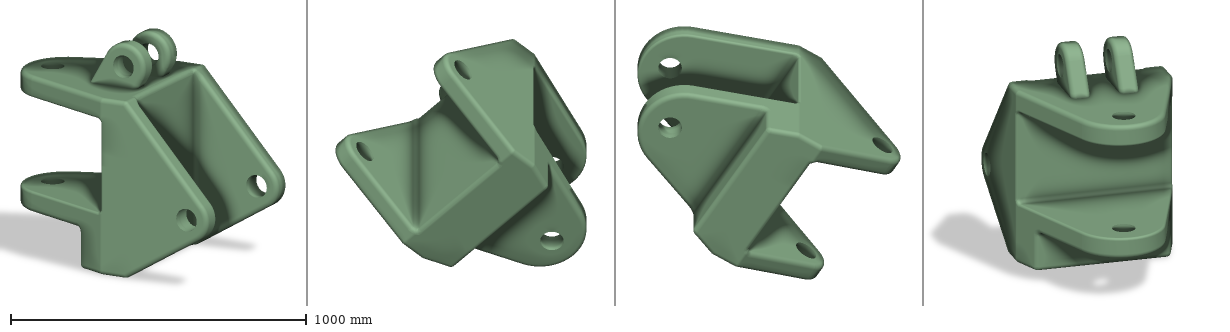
import cadquery as cq
import math

length = 854.5
width = 554.5
body_height = 619.5
overall_height = 772.5

plate_thickness = 73.5
jaw_floor = 215.0
jaw_ceiling = body_height - plate_thickness
jaw_wall_x = 443.0
jaw_tip_radius = 158.0
jaw_pin_x = 102.0
step_x = 340.0
step_top = jaw_floor - plate_thickness

cheek_thickness = 70.0
fork_wall_x = 537.5
fork_tip_radius = 79.5
fork_pin_x = length - fork_tip_radius
fork_pin_z = 238.0

lug_thickness = 68.0
lug_spacing = 172.0
lug_radius = 79.5
lug_lean = 60.0
lug_pin_x = jaw_wall_x
lug_pin_z = overall_height - lug_radius
lug_root_z = body_height - plate_thickness / 2

pin_diameter = 79.5
edge_radius = 16.0
jaw_edge_radius = 8.5
inner_corner_radius = 15.0


def tangent_point(center, radius, point, side):
    """Where a line from `point` touches the circle; side is +1 or -1 for the two such lines."""
    dx = point[0] - center[0]
    dy = point[1] - center[1]
    angle = math.atan2(dy, dx) + side * math.acos(radius / math.hypot(dx, dy))
    return (center[0] + radius * math.cos(angle), center[1] + radius * math.sin(angle))


def round_edges(solid, radius, points):
    """Fillet the edge nearest each point, together with the edges that run on smoothly from it."""
    for point in points:
        solid = solid.edges(cq.selectors.NearestToPointSelector(point)).fillet(radius)
    return solid


def plan_prism():
    """Outline in XY, tapering to the round jaw tip, over the full body height."""
    half = width / 2
    touch_x, touch_y = tangent_point((jaw_tip_radius, 0), jaw_tip_radius, (jaw_wall_x, half), 1)
    prism = (
        cq.Workplane("XY")
        .moveTo(length, -half)
        .lineTo(length, half)
        .lineTo(jaw_wall_x, half)
        .lineTo(touch_x, touch_y)
        .threePointArc((0, 0), (touch_x, -touch_y))
        .lineTo(jaw_wall_x, -half)
        .close()
        .extrude(body_height)
    )
    shoulders = [(jaw_wall_x, y, body_height / 2) for y in (-half, half)]
    return round_edges(prism, edge_radius, shoulders)


def side_prism():
    """Outline in XZ: open jaw, stepped underside and round fork tip, over the full width."""
    center = (fork_pin_x, fork_pin_z)
    upper_touch = tangent_point(center, fork_tip_radius, (fork_wall_x, body_height), -1)
    lower_touch = tangent_point(center, fork_tip_radius, (fork_wall_x, 0), 1)
    prism = (
        cq.Workplane("XZ")
        .moveTo(step_x, 0)
        .lineTo(fork_wall_x, 0)
        .lineTo(*lower_touch)
        .threePointArc((length, fork_pin_z), upper_touch)
        .lineTo(fork_wall_x, body_height)
        .lineTo(0, body_height)
        .lineTo(0, jaw_ceiling)
        .lineTo(jaw_wall_x, jaw_ceiling)
        .lineTo(jaw_wall_x, jaw_floor)
        .lineTo(0, jaw_floor)
        .lineTo(0, step_top)
        .lineTo(step_x, step_top)
        .close()
        .extrude(width / 2, both=True)
    )
    outer_corners = [(step_x, 0, 0), (fork_wall_x, 0, 0), (fork_wall_x, 0, body_height)]
    inner_corners = [(jaw_wall_x, 0, jaw_ceiling), (jaw_wall_x, 0, jaw_floor), (step_x, 0, step_top)]
    prism = round_edges(prism, edge_radius, outer_corners)
    return round_edges(prism, inner_corner_radius, inner_corners)


def fork_slot():
    """Full-height gap between the cheeks, with rounded inner corners."""
    slot_width = width - 2 * cheek_thickness
    return (
        cq.Workplane("XY")
        .box(length - fork_wall_x, slot_width, body_height, centered=(False, True, False))
        .edges("|Z and <X")
        .fillet(inner_corner_radius)
        .translate((fork_wall_x, 0, 0))
    )


def rounded_body():
    """Jaw and fork in one block, with all outer edges rounded."""
    body = plan_prism().intersect(side_prism()).cut(fork_slot())
    outer_rim = (0, 0, body_height)
    slot_rim = (fork_wall_x, 0, body_height)
    jaw_rim = (0, 0, jaw_ceiling)
    body = round_edges(body, edge_radius, [outer_rim, slot_rim])
    return round_edges(body, jaw_edge_radius, [jaw_rim])


def lug(center_y):
    """Leaning lug with a round head, rooted inside the upper plate."""
    lean = math.radians(lug_lean)
    offset_x = lug_radius * math.sin(lean)
    offset_z = lug_radius * math.cos(lean)
    left_x = lug_pin_x - offset_x
    left_z = lug_pin_z + offset_z
    right_x = lug_pin_x + offset_x
    right_z = lug_pin_z - offset_z
    left_foot_x = left_x - (left_z - lug_root_z) / math.tan(lean)
    right_foot_x = right_x - (right_z - lug_root_z) / math.tan(lean)
    head_x = lug_pin_x + lug_radius * math.cos(lean)
    head_z = lug_pin_z + lug_radius * math.sin(lean)
    plate = (
        cq.Workplane("XZ")
        .moveTo(left_foot_x, lug_root_z)
        .lineTo(left_x, left_z)
        .threePointArc((head_x, head_z), (right_x, right_z))
        .lineTo(right_foot_x, lug_root_z)
        .close()
        .extrude(lug_thickness / 2, both=True)
    )
    rims = [(head_x, y, head_z) for y in (-lug_thickness / 2, lug_thickness / 2)]
    return round_edges(plate, edge_radius, rims).translate((0, center_y, 0))


def cross_pin_hole(x, z):
    """Pin hole along Y through the full width."""
    return (
        cq.Workplane("XZ")
        .center(x, z)
        .circle(pin_diameter / 2)
        .extrude(width / 2, both=True)
    )


result = rounded_body()

for lug_y in (-lug_spacing / 2, lug_spacing / 2):
    result = result.union(lug(lug_y))

jaw_pin_hole = cq.Workplane("XY").center(jaw_pin_x, 0).circle(pin_diameter / 2).extrude(body_height)
result = result.cut(jaw_pin_hole)
result = result.cut(cross_pin_hole(fork_pin_x, fork_pin_z))
result = result.cut(cross_pin_hole(lug_pin_x, lug_pin_z))